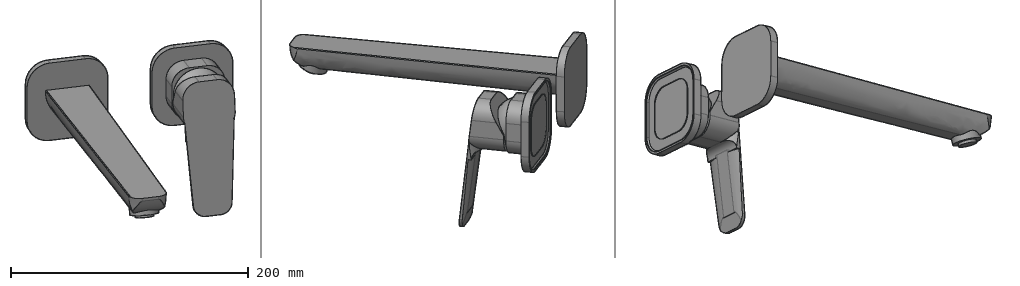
import cadquery as cq
import math

OVERALL_X = 247.5
OVERALL_Y = 180.9
OVERALL_Z = 130.6

PLATE_SIZE = 71.0
PLATE_DRAFT = 0.7
PLATE_THICKNESS = 7.0
PLATE_CORNER = 19.8
PLATE_PITCH = OVERALL_Y - PLATE_SIZE
MIXER_Y = PLATE_PITCH / 2
SPOUT_Y = -PLATE_PITCH / 2

RIM_WALL = 3.5
RIM_BEVEL = 1.2
RECESS_DEPTH = 2.0
BOSS_SIZE = 47.0
BOSS_CORNER = 13.4
BOSS_HEIGHT = 0.7
NECK_SIZE = 46.5
NECK_CORNER = 15.3
NECK_END = 23.5
BALL_CENTRE_X = 17.3
BALL_RADIUS = 22.8
HEAD_WIDTH = 45.5
HEAD_HEIGHT = 44.3
HEAD_CORNER = 14.8
HEAD_START = 25.7
HEAD_REACH = 74.2

FRONT_TOP_X = 52.0
TIP_X = 67.3
LEVER_BOTTOM = PLATE_SIZE / 2 - OVERALL_Z
FRONT_SLOPE = (TIP_X - FRONT_TOP_X) / (HEAD_HEIGHT / 2 - LEVER_BOTTOM)

RELIEF_TOP_X = 40.5
RELIEF_FOOT_Z = -3.7

LEVER_THICKNESS = 4.0
LEVER_EDGE = 0.5
LEVER_RAW_LENGTH = 148.5
LEVER_FLAT = 14.8
LEVER_TOP_WIDTH = 45.0
LEVER_TIP_WIDTH = 32.7
LEVER_TIP_CORNER = 10.5
LEVER_BLEND = 7.5
LEVER_BULGE = 1 / 4
BLEND_BULGE = 1 / 3
TIP_BEVEL_HEIGHT = 12.9
TIP_BEVEL_DEPTH = 1.2

SPOUT_LENGTH = OVERALL_X
SPOUT_ROOT_WIDTH = 38.8
SPOUT_TIP_WIDTH = 32.7
SPOUT_ROOT_TOP = 11.0
SPOUT_TIP_TOP = 10.0
SPOUT_ROOT_BOTTOM = -12.0
SPOUT_TIP_BOTTOM = -10.6
SPOUT_BELLY_FLAT = 10.0
SPOUT_EDGE_BEVEL = 0.7
SPOUT_TIP_CORNER = 8.7
SPOUT_KEEL_CORNER = 14.8
NOSE_START = 224.0
NOSE_MIDDLE = (242.0, -3.0)
NOSE_LIP = 2.5

AERATOR_CENTRE = (229.5, -12.4)
AERATOR_TILT = 17.0
AERATOR_DIAMETER = 24.7
AERATOR_HEIGHT = 7.5
OUTLET_DIAMETER = 15.8
OUTLET_HEIGHT = 2.5


def front_x(z):
    """X of the sloping front face of the handle at height z."""
    return FRONT_TOP_X + FRONT_SLOPE * (HEAD_HEIGHT / 2 - z)


def rounded_block(width, height, corner, x_start, x_end, y):
    """A rounded rectangle in YZ, extruded along X."""
    block = cq.Workplane("YZ", origin=(x_start, y, 0)).rect(width, height).extrude(x_end - x_start)
    return block.edges("|X").fillet(corner)


def plate(y):
    """Wall plate whose Y sides widen slightly toward the front."""
    back = cq.Sketch().rect(PLATE_SIZE - PLATE_DRAFT, PLATE_SIZE).vertices().fillet(PLATE_CORNER)
    front = cq.Sketch().rect(PLATE_SIZE, PLATE_SIZE).vertices().fillet(PLATE_CORNER)
    start = cq.Workplane("YZ", origin=(0, y, 0))
    return start.placeSketch(back, front.moved(cq.Location((0, 0, PLATE_THICKNESS)))).loft()


def handle_head():
    """Rounded square head, trimmed by the sloping front face and by the relief above the ball."""
    head = rounded_block(HEAD_WIDTH, HEAD_HEIGHT, HEAD_CORNER, HEAD_START, HEAD_REACH, MIXER_Y)
    half = HEAD_HEIGHT / 2
    side = (
        cq.Workplane("XZ", origin=(0, MIXER_Y + HEAD_WIDTH / 2, 0))
        .moveTo(HEAD_START, -half)
        .lineTo(HEAD_START, RELIEF_FOOT_Z)
        .lineTo(RELIEF_TOP_X, half)
        .lineTo(front_x(half), half)
        .lineTo(front_x(-half), -half)
        .close()
        .extrude(HEAD_WIDTH)
    )
    return head.intersect(side)


def lever_section():
    """Long bar along the front slope: flat front, flat strip behind, arcs thinning to the sides."""
    half = LEVER_TOP_WIDTH / 2
    flat = LEVER_FLAT / 2
    middle = (flat + half) / 2
    drop = LEVER_THICKNESS - LEVER_EDGE
    bulge_x = -LEVER_THICKNESS + drop * LEVER_BULGE
    down = cq.Vector(FRONT_SLOPE, 0, -1)
    frame = cq.Plane(origin=(front_x(0), MIXER_Y, 0), xDir=(1, 0, FRONT_SLOPE), normal=down)
    return (
        cq.Workplane(frame)
        .moveTo(0, -half)
        .lineTo(-LEVER_EDGE, -half)
        .threePointArc((bulge_x, -middle), (-LEVER_THICKNESS, -flat))
        .lineTo(-LEVER_THICKNESS, flat)
        .threePointArc((bulge_x, middle), (-LEVER_EDGE, half))
        .lineTo(0, half)
        .close()
        .extrude(LEVER_RAW_LENGTH)
    )


def lever_outline():
    """Tapering YZ outline of the lever with round tip corners, extruded along X."""
    return (
        cq.Workplane("YZ", origin=(0, MIXER_Y, 0))
        .moveTo(-LEVER_TOP_WIDTH / 2, 0)
        .lineTo(-LEVER_TIP_WIDTH / 2, LEVER_BOTTOM)
        .lineTo(LEVER_TIP_WIDTH / 2, LEVER_BOTTOM)
        .lineTo(LEVER_TOP_WIDTH / 2, 0)
        .close()
        .extrude(HEAD_REACH)
        .edges("|X and <Z")
        .fillet(LEVER_TIP_CORNER)
    )


def lever_tip_bevel():
    """Wedge that thins the back of the lever toward its tip."""
    top = LEVER_BOTTOM + TIP_BEVEL_HEIGHT
    return (
        cq.Workplane("XZ", origin=(0, MIXER_Y + LEVER_TIP_WIDTH, 0))
        .moveTo(front_x(top) - LEVER_THICKNESS, top)
        .lineTo(front_x(LEVER_BOTTOM) - LEVER_THICKNESS + TIP_BEVEL_DEPTH, LEVER_BOTTOM)
        .lineTo(front_x(top) - LEVER_THICKNESS, LEVER_BOTTOM)
        .close()
        .extrude(2 * LEVER_TIP_WIDTH)
    )


def lever_blend():
    """Concave blend between the underside of the head and the back of the lever."""
    half = LEVER_TOP_WIDTH / 2
    flat = LEVER_FLAT / 2
    top = -HEAD_HEIGHT / 2
    low = top - LEVER_BLEND
    back = front_x(low) - LEVER_THICKNESS
    start = back - LEVER_BLEND
    lean = LEVER_BLEND * (1 - math.sqrt(0.5))
    profile = (
        cq.Workplane("XZ", origin=(0, MIXER_Y + half, 0))
        .moveTo(start, top)
        .threePointArc((back - lean, top - lean), (back, low))
        .lineTo(front_x(low), low)
        .lineTo(front_x(0), 0)
        .lineTo(start, 0)
        .close()
        .extrude(LEVER_TOP_WIDTH)
    )
    reach = front_x(low)
    round_x = start + (reach - start) * BLEND_BULGE
    round_y = flat + (half - flat) * (1 - BLEND_BULGE)
    rounding = (
        cq.Workplane("XY", origin=(0, MIXER_Y, low))
        .moveTo(start, -flat)
        .lineTo(start, flat)
        .threePointArc((round_x, round_y), (reach, half))
        .lineTo(reach, -half)
        .threePointArc((round_x, -round_y), (start, -flat))
        .close()
        .extrude(-low)
    )
    return profile.intersect(rounding)


def lever():
    """Blade hanging from the head, with its blend, trimmed to the tapering outline."""
    blade = lever_section().union(lever_blend()).cut(lever_tip_bevel())
    return blade.intersect(lever_outline())


def recess():
    """Pocket behind the mixer plate with a bevelled mouth and a low boss on its floor."""
    size = PLATE_SIZE - 2 * RIM_WALL
    corner = PLATE_CORNER - RIM_WALL
    pocket = rounded_block(size, size, corner, 0, RECESS_DEPTH, MIXER_Y)
    wide = size + 2 * RIM_BEVEL
    mouth = rounded_block(wide, wide, corner + RIM_BEVEL, 0, RECESS_DEPTH, MIXER_Y)
    mouth = mouth.faces(">X").chamfer(RIM_BEVEL)
    boss_back = RECESS_DEPTH - BOSS_HEIGHT
    boss = rounded_block(BOSS_SIZE, BOSS_SIZE, BOSS_CORNER, boss_back, RECESS_DEPTH, MIXER_Y)
    return pocket.union(mouth).cut(boss)


def ball():
    """Front part of the ball that shows between the neck and the head."""
    whole = cq.Workplane("XY", origin=(BALL_CENTRE_X, MIXER_Y, 0)).sphere(BALL_RADIUS)
    room = cq.Workplane("YZ", origin=(BALL_CENTRE_X, MIXER_Y, 0)).circle(BALL_RADIUS).extrude(BALL_RADIUS)
    return whole.intersect(room)


def make_mixer():
    """Mixer body: wall plate, neck, ball, head and lever as one solid."""
    neck = rounded_block(NECK_SIZE, NECK_SIZE, NECK_CORNER, RECESS_DEPTH, NECK_END, MIXER_Y)
    body = plate(MIXER_Y).cut(recess()).union(neck)
    return body.union(ball()).union(handle_head()).union(lever())


def spout_section(workplane, width, top, bottom):
    """Section with a flat bevelled top, curved flanks and a narrow flat underside."""
    half = width / 2
    inner = half - SPOUT_EDGE_BEVEL
    shoulder = top - SPOUT_EDGE_BEVEL
    flat = SPOUT_BELLY_FLAT / 2
    diagonal = math.sqrt(0.5)
    flank_y = flat + (half - flat) * diagonal
    flank_z = shoulder - (shoulder - bottom) * diagonal
    return (
        workplane.moveTo(-inner, top)
        .lineTo(-half, shoulder)
        .spline([(-flank_y, flank_z), (-flat, bottom)], tangents=[(0, -1), (1, 0)], includeCurrent=True)
        .lineTo(flat, bottom)
        .spline([(flank_y, flank_z), (half, shoulder)], tangents=[(1, 0), (0, 1)], includeCurrent=True)
        .lineTo(inner, top)
        .close()
    )


def spout_bar():
    """Bar that tapers from the plate to the tip."""
    root = cq.Workplane("YZ", origin=(PLATE_THICKNESS, SPOUT_Y, 0))
    section = spout_section(root, SPOUT_ROOT_WIDTH, SPOUT_ROOT_TOP, SPOUT_ROOT_BOTTOM)
    end = section.workplane(offset=SPOUT_LENGTH - PLATE_THICKNESS)
    return spout_section(end, SPOUT_TIP_WIDTH, SPOUT_TIP_TOP, SPOUT_TIP_BOTTOM).loft(ruled=True)


def nose_profile():
    """Side shape of the spout with its rounded nose, wide enough to trim the bar."""
    return (
        cq.Workplane("XZ", origin=(0, SPOUT_Y + SPOUT_ROOT_WIDTH / 2, 0))
        .moveTo(0, SPOUT_ROOT_TOP)
        .lineTo(SPOUT_LENGTH, SPOUT_ROOT_TOP)
        .lineTo(SPOUT_LENGTH, SPOUT_TIP_TOP - NOSE_LIP)
        .threePointArc(NOSE_MIDDLE, (NOSE_START, SPOUT_TIP_BOTTOM))
        .lineTo(0, SPOUT_ROOT_BOTTOM)
        .close()
        .extrude(SPOUT_ROOT_WIDTH)
    )


def outline_sketch(corner):
    """Tapering XY outline of the spout with round tip corners."""
    root_half = SPOUT_ROOT_WIDTH / 2
    tip_half = SPOUT_TIP_WIDTH / 2
    corners = [
        (PLATE_THICKNESS, -root_half),
        (SPOUT_LENGTH, -tip_half),
        (SPOUT_LENGTH, tip_half),
        (PLATE_THICKNESS, root_half),
    ]
    return cq.Sketch().polygon(corners + corners[:1]).vertices(">X").fillet(corner)


def nose_outline():
    """Block with the outline of the spout, its tip corners growing rounder toward the underside."""
    keel = outline_sketch(SPOUT_KEEL_CORNER)
    top = outline_sketch(SPOUT_TIP_CORNER).moved(cq.Location((0, 0, SPOUT_ROOT_TOP - SPOUT_ROOT_BOTTOM)))
    return cq.Workplane("XY", origin=(0, SPOUT_Y, SPOUT_ROOT_BOTTOM)).placeSketch(keel, top).loft()


def aerator():
    """Tilted ring under the tip with a smaller outlet below it."""
    tilt = math.radians(AERATOR_TILT)
    down = (math.sin(tilt), 0, -math.cos(tilt))
    centre_x, centre_z = AERATOR_CENTRE
    frame = cq.Plane(origin=(centre_x, SPOUT_Y, centre_z), xDir=(0, 1, 0), normal=down)
    ring = cq.Workplane(frame).circle(AERATOR_DIAMETER / 2).extrude(-AERATOR_HEIGHT)
    outlet = cq.Workplane(frame).circle(OUTLET_DIAMETER / 2).extrude(OUTLET_HEIGHT)
    return ring.union(outlet)


def make_spout():
    """Spout body: wall plate, bar and aerator as one solid."""
    bar = spout_bar().intersect(nose_profile()).intersect(nose_outline())
    return plate(SPOUT_Y).union(bar).union(aerator())


mixer = make_mixer()
spout = make_spout()

result = cq.Compound.makeCompound([mixer.val(), spout.val()])